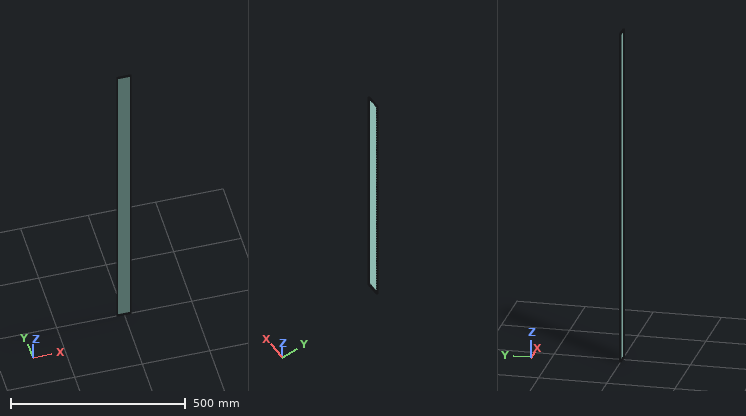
import cadquery as cq

width = 40.0
thickness = 3.0
length = 1000.0

result = cq.Workplane("XY").box(width, thickness, length)